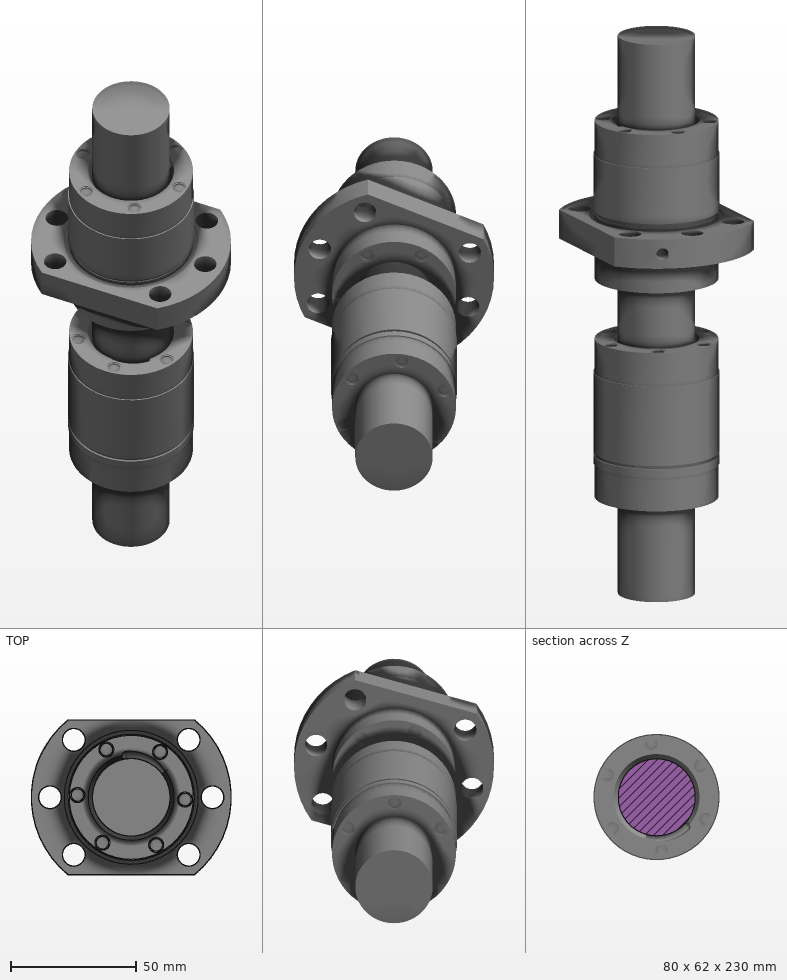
import cadquery as cq
import math

shaft_length = 230.0
shaft_diameter = 31.0

nut_length = 65.3
end_cap_diameter = 49.6
body_diameter = 50.5
groove_diameter = 48.8
bottom_cap_length = 14.0
top_cap_length = 13.7
body_top = nut_length - top_cap_length

lead_in_diameter = 34.4
lead_in_depth = 3.0

screw_count = 6
screw_circle_radius = 21.5
screw_recess_diameter = 6.0
screw_recess_depth = 0.3
screw_socket_diameter = 5.0
screw_socket_depth = 0.8
top_screw_angle = 35.6
bottom_screw_angle = 14.4

ball_radius = 2.0
track_radius = 17.0
track_pitch = 5.0
track_sweep = 60.0
track_end_angle = -45.0
track_end_drop = 1.3

plain_nut_bottom = 39.8
collar_length = 3.4
collar_top = bottom_cap_length + collar_length
collar_groove_width = 1.4

flanged_nut_bottom = 129.8
flanged_nut_turn = 142.0
flange_diameter = 80.0
flange_width = 62.0
flange_thickness = 12.0
flange_top = bottom_cap_length + flange_thickness
flange_recess_diameter = 53.6
flange_recess_depth = 0.6
seat_height = 1.1
neck_length = 2.6
bolt_hole_diameter = 9.0
bolt_circle_radius = 32.5
bolt_angles = (0, 45, 135, 180, 225, 315)
oil_hole_diameter = 4.9
oil_hole_angle = 157.5
oil_hole_depth = 20.0


def cylinder(diameter, bottom, top):
    """Upright cylinder on the Z axis between two heights."""
    return cq.Workplane("XY").workplane(offset=bottom).circle(diameter / 2).extrude(top - bottom)


def screw_cylinders(diameter, bottom, top, first_angle):
    """Upright cylinders at the cap screw positions."""
    return (
        cq.Workplane("XY")
        .workplane(offset=bottom)
        .polarArray(screw_circle_radius, first_angle, 360, screw_count)
        .circle(diameter / 2)
        .extrude(top - bottom)
    )


def screw_recesses(face_height, inward, first_angle):
    """Stepped screw recesses in an end face; inward is -1 below a top face, +1 above a bottom face."""
    recess_floor = face_height + inward * screw_recess_depth
    socket_floor = face_height + inward * screw_socket_depth
    recesses = screw_cylinders(screw_recess_diameter, face_height, recess_floor, first_angle)
    return recesses.union(screw_cylinders(screw_socket_diameter, face_height, socket_floor, first_angle))


def lead_in_cone():
    return (
        cq.Workplane("XY")
        .workplane(offset=nut_length - lead_in_depth)
        .circle(shaft_diameter / 2)
        .workplane(offset=lead_in_depth)
        .circle(lead_in_diameter / 2)
        .loft(ruled=True)
    )


def ball_track():
    """Short helical ball groove, rounded off by a ball at its upper end."""
    rise = track_pitch * track_sweep / 360
    helix = cq.Wire.makeHelix(track_pitch, rise, track_radius)
    groove = (
        cq.Workplane("XZ", origin=(track_radius, 0, 0))
        .circle(ball_radius)
        .sweep(cq.Workplane(obj=helix), isFrenet=True)
    )
    end_x = track_radius * math.cos(math.radians(track_sweep))
    end_y = track_radius * math.sin(math.radians(track_sweep))
    end_ball = cq.Workplane("XY").sphere(ball_radius).translate((end_x, end_y, rise))
    track = groove.union(end_ball)
    track = track.rotate((0, 0, 0), (0, 0, 1), track_end_angle - track_sweep)
    return track.translate((0, 0, nut_length - track_end_drop - rise))


def cut_common_openings(nut):
    """Bore, lead-in, ball track and screw recesses found on both nuts."""
    nut = nut.cut(cylinder(shaft_diameter, 0, nut_length))
    nut = nut.cut(lead_in_cone())
    nut = nut.cut(ball_track())
    nut = nut.cut(screw_recesses(nut_length, -1, top_screw_angle))
    return nut.cut(screw_recesses(0, 1, bottom_screw_angle))


def make_plain_nut():
    groove_top = collar_top + collar_groove_width
    nut = cylinder(end_cap_diameter, 0, bottom_cap_length)
    nut = nut.union(cylinder(body_diameter, bottom_cap_length, collar_top))
    nut = nut.union(cylinder(groove_diameter, collar_top, groove_top))
    nut = nut.union(screw_cylinders(screw_recess_diameter, collar_top, groove_top, bottom_screw_angle))
    nut = nut.union(cylinder(body_diameter, groove_top, body_top))
    nut = nut.union(cylinder(end_cap_diameter, body_top, nut_length))
    return cut_common_openings(nut)


def make_flange():
    """Round flange with two flats, bolt holes and a recess around the nut."""
    flange = cylinder(flange_diameter, bottom_cap_length, flange_top)
    flats = cq.Workplane("XY").box(flange_diameter, flange_width, flange_top, centered=(True, True, False))
    flange = flange.intersect(flats)
    flange = flange.cut(cylinder(flange_recess_diameter, flange_top - flange_recess_depth, flange_top))
    for angle in bolt_angles:
        x = bolt_circle_radius * math.cos(math.radians(angle))
        y = bolt_circle_radius * math.sin(math.radians(angle))
        flange = flange.cut(cylinder(bolt_hole_diameter, bottom_cap_length, flange_top).translate((x, y, 0)))
    return flange


def oil_hole():
    """Radial hole at mid-thickness, drilled inward from the flange rim."""
    mid_height = bottom_cap_length + flange_thickness / 2
    inner_radius = flange_diameter / 2 - oil_hole_depth
    hole = (
        cq.Workplane("YZ", origin=(inner_radius, 0, mid_height))
        .circle(oil_hole_diameter / 2)
        .extrude(oil_hole_depth)
    )
    return hole.rotate((0, 0, 0), (0, 0, 1), oil_hole_angle)


def make_flanged_nut():
    seat_top = flange_top + seat_height
    body_bottom = flange_top + neck_length
    nut = cylinder(end_cap_diameter, 0, seat_top)
    nut = nut.union(cylinder(groove_diameter, seat_top, body_bottom))
    nut = nut.union(cylinder(body_diameter, body_bottom, body_top))
    nut = nut.union(cylinder(end_cap_diameter, body_top, nut_length))
    nut = cut_common_openings(nut).rotate((0, 0, 0), (0, 0, 1), flanged_nut_turn)
    flange = make_flange().cut(cylinder(end_cap_diameter, bottom_cap_length, flange_top))
    return nut.union(flange).cut(oil_hole())


shaft = cylinder(shaft_diameter, 0, shaft_length)
plain_nut = make_plain_nut().translate((0, 0, plain_nut_bottom))
flanged_nut = make_flanged_nut().translate((0, 0, flanged_nut_bottom))

result = cq.Compound.makeCompound([shaft.val(), plain_nut.solids().val(), flanged_nut.solids().val()])